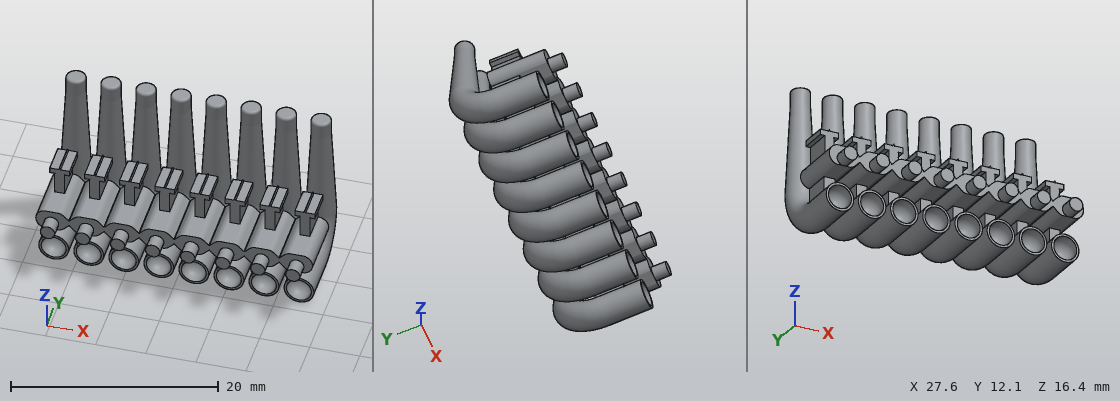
import cadquery as cq
import math

overall_length = 27.62
overall_height = 16.35
unit_count = 8

lobe_half_width = 1.57
lobe_half_height = 1.05
lobe_arc_radius = 1.08
bar_depth = 6.0
bar_bottom_z = 2.98
web_half_thickness = 0.3
pitch = (overall_length - 2 * lobe_half_width) / (unit_count - 1)
bar_middle_z = bar_bottom_z + lobe_half_height
bar_top_z = bar_bottom_z + 2 * lobe_half_height

tube_radius = 1.5
bore_radius = 1.25
bore_straight_depth = 0.5
mouth_y = 0.8
socket_length = 4.5
bend_radius = 3.75
tip_radius = 1.0
tip_length = 1.7
tip_rounding = 0.28
bend_start_y = mouth_y + socket_length
upright_y = bend_start_y + bend_radius
upright_top_z = overall_height - tube_radius
tip_start_z = upright_top_z - tip_length

pin_radius = 0.72
pin_length = 1.5
pin_z = bar_bottom_z + pin_radius

rib_depth = bar_depth / 2
rib_start_y = bar_depth - rib_depth
rib_top_z = 7.98
rib_cap_width = 2.0
rib_cap_thickness = 0.58
rib_stem_width = 1.0
ridge_width = 0.2
ridge_height = 0.17
block_width = 1.15

overlap = 0.15


def box(width, y_start, y_end, z_start, z_end):
    """Box centred on X = 0."""
    return (
        cq.Workplane("XY", origin=(0, y_start, z_start))
        .box(width, y_end - y_start, z_end - z_start, centered=(True, False, False))
    )


def cylinder_along_y(radius, y_start, y_end, z):
    axis_start = cq.Vector(0, y_start, z)
    return cq.Workplane(cq.Solid.makeCylinder(radius, y_end - y_start, axis_start, cq.Vector(0, 1, 0)))


def lobe():
    """Flat-topped lobe whose sides are arcs."""
    arc_center_x = lobe_half_width - lobe_arc_radius
    flat_half_width = arc_center_x + math.sqrt(lobe_arc_radius**2 - lobe_half_height**2)
    return (
        cq.Workplane("XZ", origin=(0, 0, bar_middle_z))
        .moveTo(-flat_half_width, lobe_half_height)
        .lineTo(flat_half_width, lobe_half_height)
        .threePointArc((lobe_half_width, 0), (flat_half_width, -lobe_half_height))
        .lineTo(-flat_half_width, -lobe_half_height)
        .threePointArc((-lobe_half_width, 0), (-flat_half_width, lobe_half_height))
        .close()
        .extrude(-bar_depth)
    )


def web():
    """Bridge to the next lobe: 45 degree flanks tangent to the lobe arcs, meeting a thin flat neck."""
    arc_reach = lobe_arc_radius * math.sqrt(0.5)
    flank_start_x = lobe_half_width - lobe_arc_radius + arc_reach
    neck_start_x = flank_start_x + arc_reach - web_half_thickness
    upper_edge = [
        (flank_start_x, arc_reach),
        (neck_start_x, web_half_thickness),
        (pitch - neck_start_x, web_half_thickness),
        (pitch - flank_start_x, arc_reach),
    ]
    lower_edge = [(x, -z) for x, z in reversed(upper_edge)]
    return (
        cq.Workplane("XZ", origin=(0, 0, bar_middle_z))
        .polyline(upper_edge + lower_edge)
        .close()
        .extrude(-bar_depth)
    )


def elbow_tube():
    socket = cylinder_along_y(tube_radius, mouth_y, bend_start_y, 0)
    bend = (
        cq.Workplane("XZ", origin=(0, bend_start_y, 0))
        .circle(tube_radius)
        .revolve(90, (-0.28, bend_radius), (0.28, bend_radius))
    )
    upright = (
        cq.Workplane("XY", origin=(0, upright_y, bend_radius))
        .circle(tube_radius)
        .workplane(offset=tip_start_z - bend_radius)
        .circle(tip_radius)
        .loft()
    )
    tip = cq.Workplane("XY", origin=(0, upright_y, tip_start_z)).circle(tip_radius).extrude(tip_length)
    tip = tip.faces(">Z").edges().fillet(tip_rounding)
    return socket.union(bend).union(upright).union(tip)


def bore():
    """Round-bottomed blind hole in the mouth of the tube."""
    dome_start_y = mouth_y + bore_straight_depth
    dome_reach = bore_radius * math.sqrt(0.5)
    return (
        cq.Workplane("XY")
        .moveTo(0, mouth_y)
        .lineTo(bore_radius, mouth_y)
        .lineTo(bore_radius, dome_start_y)
        .threePointArc((dome_reach, dome_start_y + dome_reach), (0, dome_start_y + bore_radius))
        .close()
        .revolve(360, (0, 0), (0, 1))
    )


def t_rib():
    cap_bottom_z = rib_top_z - rib_cap_thickness
    stem = box(rib_stem_width, rib_start_y, bar_depth, bar_top_z - overlap, cap_bottom_z)
    cap = box(rib_cap_width, rib_start_y, bar_depth, cap_bottom_z, rib_top_z)
    ridge = (
        cq.Workplane("XZ", origin=(0, rib_start_y, rib_top_z))
        .polyline([(-ridge_width / 2, 0), (ridge_width / 2, 0), (0, ridge_height)])
        .close()
        .extrude(-rib_depth)
    )
    return stem.union(cap).union(ridge)


def unit():
    block = box(block_width, rib_start_y, bar_depth, 0, bar_bottom_z + overlap)
    pin = cylinder_along_y(pin_radius, -pin_length, overlap, pin_z)
    return elbow_tube().union(block).cut(bore()).union(lobe()).union(t_rib()).union(pin)


first_unit_x = lobe_half_width - overall_length / 2
one_unit = unit()
one_web = web()
result = one_unit.translate((first_unit_x, 0, 0))
for index in range(1, unit_count):
    unit_x = first_unit_x + index * pitch
    result = result.union(one_web.translate((unit_x - pitch, 0, 0)))
    result = result.union(one_unit.translate((unit_x, 0, 0)))